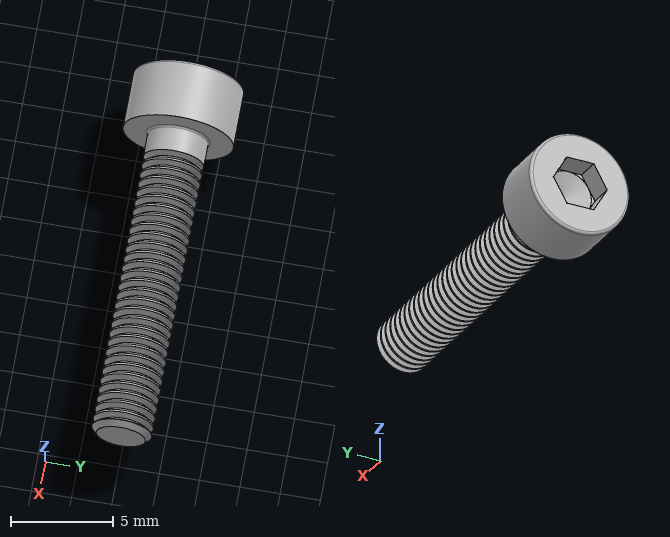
import cadquery as cq
import math

head_diameter = 5.5
head_height = 3.0
head_edge_radius = 0.15

socket_sides = 6
socket_across_flats = 2.56
socket_depth = 1.3
drill_point_angle = 120.0

thread_diameter = 3.0
thread_pitch = 0.5
shank_length = 16.0
under_head_radius = 0.1
groove_count = 29
thread_depth = 0.28
tip_chamfer = thread_depth
crest_width = 0.105

head_radius = head_diameter / 2
thread_radius = thread_diameter / 2
root_radius = thread_radius - thread_depth
tip = head_height + shank_length
first_root = tip - groove_count * thread_pitch
flank_width = (thread_pitch - crest_width) / 2


def make_head():
    """Cylindrical head with a rounded outer rim."""
    head = cq.Workplane("YZ").circle(head_radius).extrude(head_height)
    return head.faces("<X").edges().fillet(head_edge_radius)


def make_shank():
    """Revolved shank: under-head fillet, plain neck, ring grooves and tapered tip."""
    arc_offset = under_head_radius * (1 - math.sqrt(0.5))
    profile = (
        cq.Workplane("XY")
        .moveTo(head_height, 0)
        .lineTo(head_height, thread_radius + under_head_radius)
        .threePointArc(
            (head_height + arc_offset, thread_radius + arc_offset),
            (head_height + under_head_radius, thread_radius),
        )
    )
    for index in range(groove_count):
        root = first_root + index * thread_pitch
        profile = (
            profile.lineTo(root - flank_width, thread_radius)
            .lineTo(root, root_radius)
            .lineTo(root + flank_width, thread_radius)
        )
    profile = (
        profile.lineTo(tip - tip_chamfer, thread_radius)
        .lineTo(tip, root_radius)
        .lineTo(tip, 0)
        .close()
    )
    return profile.revolve(360, (0, 0, 0), (1, 0, 0))


def make_socket():
    """Hexagonal cutter with two flats facing +Z and -Z, ending in a cone."""
    across_corners = socket_across_flats / math.cos(math.pi / socket_sides)
    hexagon = cq.Workplane("YZ").polygon(socket_sides, across_corners).extrude(socket_depth)
    cone_radius = socket_across_flats / 2
    cone_height = cone_radius / math.tan(math.radians(drill_point_angle / 2))
    cone = cq.Solid.makeCone(
        cone_radius, 0, cone_height, cq.Vector(socket_depth, 0, 0), cq.Vector(1, 0, 0)
    )
    return hexagon.union(cq.Workplane(cone))


result = make_head().union(make_shank()).cut(make_socket())